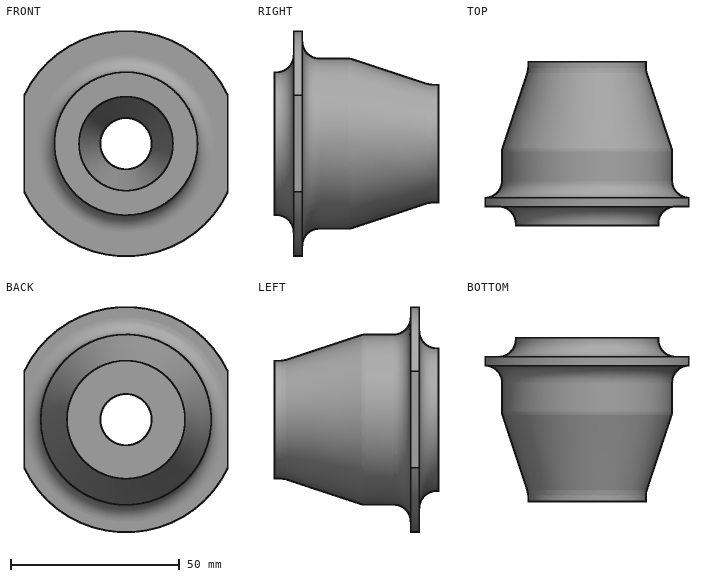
import cadquery as cq

total_length = 48.54
flange_diameter = 66.69
flange_width = 60.3
flange_thickness = 2.65

stub_diameter = 42.3
stub_land = 0.65
collar_fillet = 5.0

body_diameter = 50.4
tip_diameter = 34.9
taper_start = 22.4
taper_end = 45.85
shoulder_radius = 3.0
tip_radius = 5.0

bore_diameter = 27.8
outlet_diameter = 15.1
bore_depth = 18.7
outlet_start = 45.0
throat_radius = 3.0

flange_front = stub_land + collar_fillet
flange_back = flange_front + flange_thickness


def turned(points):
    """Revolve a closed outline of (radius, Y) points about the Y axis."""
    outline = cq.Workplane("XY").polyline(points).close()
    return outline.revolve(360, (0, 0, 0), (0, 1, 0))


def circles_at(radius, y):
    """Select the circular edge of the given radius in the plane at y."""
    slack = 0.01
    reach = radius + slack
    low_corner = (-reach, y - slack, -reach)
    high_corner = (reach, y + slack, reach)
    return cq.selectors.BoxSelector(low_corner, high_corner, boundingbox=True)


def outer_body():
    """Stub, flange, body and tapered tip as one turned solid with rounded corners."""
    stub_r = stub_diameter / 2
    flange_r = flange_diameter / 2
    body_r = body_diameter / 2
    tip_r = tip_diameter / 2
    body = turned([
        (0, 0),
        (stub_r, 0),
        (stub_r, flange_front),
        (flange_r, flange_front),
        (flange_r, flange_back),
        (body_r, flange_back),
        (body_r, taper_start),
        (tip_r, taper_end),
        (tip_r, total_length),
        (0, total_length),
    ])
    body = body.edges(circles_at(stub_r, flange_front)).fillet(collar_fillet)
    body = body.edges(circles_at(body_r, flange_back)).fillet(collar_fillet)
    body = body.edges(circles_at(body_r, taper_start)).fillet(shoulder_radius)
    return body.edges(circles_at(tip_r, taper_end)).fillet(tip_radius)


def flange_flats():
    """Slab, oversized along Y and Z, that trims the flange to two flats parallel to the YZ plane."""
    slab_length = 3 * total_length
    slab_height = 2 * flange_diameter
    return cq.Workplane("XY").box(flange_width, slab_length, slab_height)


def passage():
    """Straight bore from the front, narrowing as a cone to a short straight outlet."""
    bore_r = bore_diameter / 2
    outlet_r = outlet_diameter / 2
    cavity = turned([
        (0, 0),
        (bore_r, 0),
        (bore_r, bore_depth),
        (outlet_r, outlet_start),
        (outlet_r, total_length),
        (0, total_length),
    ])
    return cavity.edges(circles_at(bore_r, bore_depth)).fillet(throat_radius)


result = outer_body().intersect(flange_flats()).cut(passage())